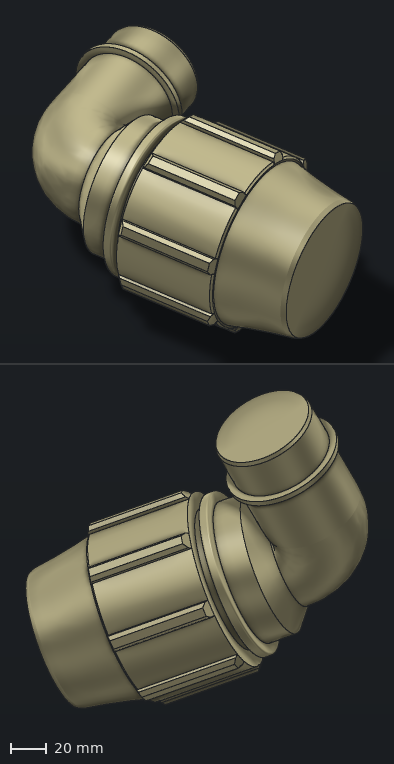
import cadquery as cq
import math


flange_diameter = 68.6
flange_thickness = 3.3
flange_y = 63.1
spigot_diameter = 59.6
spigot_end_y = 92.1
spigot_chamfer_length = 2.2
spigot_chamfer_depth = 1.0
pipe_radius = spigot_diameter / 2
bend_radius = 24.3
branch_x = flange_diameter / 2
elbow_end_x = branch_x + bend_radius

cone_start_x = 59.9
neck_start_x = 70.7
neck_radius = 84.8 / 2
collar_start_x = 87.5
collar_end_x = 93.5
collar_radius = 98.3 / 2
collar_fillet = 1.5

nut_start_x = 98.9
nut_end_x = 161.8
nut_radius = 52.3
nut_chamfer = 1.2
rib_count = 8
rib_shoulder_radius = 54.0
rib_tip_radius = 56.4
rib_root_depth = 2
rib_root_radius = nut_radius - rib_root_depth
rib_base_width = 9.8
rib_top_width = 5.3
rib_front_slope = 3.5
rib_back_slope = 2.0

taper_start_radius = 49.8
taper_end_radius = 42.0
taper_sag = 0.6
end_x = 204.3
end_chamfer_length = 2.9
end_chamfer_depth = 1.2


def along_y(radius, start_y, length):
    """Cylinder on the branch axis, growing toward +Y."""
    plane = cq.Plane(origin=(branch_x, start_y, 0), xDir=(1, 0, 0), normal=(0, 1, 0))
    return cq.Workplane(plane).circle(radius).extrude(length)


def make_branch():
    pipe = along_y(pipe_radius, bend_radius, flange_y - bend_radius)
    flange = along_y(flange_diameter / 2, flange_y, flange_thickness)
    spigot = (
        along_y(pipe_radius, flange_y, spigot_end_y - flange_y)
        .faces(">Y")
        .chamfer(spigot_chamfer_length, spigot_chamfer_depth)
    )
    return pipe.union(flange).union(spigot)


def make_elbow():
    """Quarter bend: the pipe section, cut off at the bend axis, is swept about that axis."""
    half_chord = math.sqrt(pipe_radius**2 - bend_radius**2)
    return (
        cq.Workplane("YZ", origin=(elbow_end_x, 0, 0))
        .moveTo(bend_radius, -half_chord)
        .threePointArc((-pipe_radius, 0), (bend_radius, half_chord))
        .close()
        .revolve(90, (bend_radius, 2, 0), (bend_radius, 0, 0))
    )


def make_body():
    """Cone, neck, collar, nut and tapered end as one profile turned about X."""
    taper_end_x = end_x - end_chamfer_length
    taper_middle_x = (nut_end_x + taper_end_x) / 2
    taper_middle_radius = (taper_start_radius + taper_end_radius) / 2 - taper_sag
    collar_edge_radius = collar_radius - collar_fillet
    arc_inset = collar_fillet * (1 - math.sqrt(0.5))
    arc_radius = collar_radius - arc_inset
    return (
        cq.Workplane("XY")
        .moveTo(elbow_end_x, 0)
        .lineTo(elbow_end_x, pipe_radius)
        .lineTo(cone_start_x, pipe_radius)
        .lineTo(neck_start_x, neck_radius)
        .lineTo(collar_start_x, neck_radius)
        .lineTo(collar_start_x, collar_edge_radius)
        .threePointArc(
            (collar_start_x + arc_inset, arc_radius),
            (collar_start_x + collar_fillet, collar_radius),
        )
        .lineTo(collar_end_x - collar_fillet, collar_radius)
        .threePointArc((collar_end_x - arc_inset, arc_radius), (collar_end_x, collar_edge_radius))
        .lineTo(collar_end_x, neck_radius)
        .lineTo(nut_start_x, neck_radius)
        .lineTo(nut_start_x, nut_radius)
        .lineTo(nut_end_x - nut_chamfer, nut_radius)
        .lineTo(nut_end_x, nut_radius - nut_chamfer)
        .lineTo(nut_end_x, taper_start_radius)
        .threePointArc((taper_middle_x, taper_middle_radius), (taper_end_x, taper_end_radius))
        .lineTo(end_x, taper_end_radius - end_chamfer_depth)
        .lineTo(end_x, 0)
        .close()
        .revolve(360, (0, 0, 0), (1, 0, 0))
    )


def make_rib():
    """Straight-sided rib with a bevelled top on the +Z side of the nut; its ends slope toward the nut."""
    section = (
        cq.Workplane("YZ", origin=(nut_start_x, 0, 0))
        .polyline([
            (-rib_base_width / 2, rib_root_radius),
            (rib_base_width / 2, rib_root_radius),
            (rib_base_width / 2, rib_shoulder_radius),
            (rib_top_width / 2, rib_tip_radius),
            (-rib_top_width / 2, rib_tip_radius),
            (-rib_base_width / 2, rib_shoulder_radius),
        ])
        .close()
        .extrude(nut_end_x - nut_start_x)
    )
    side_outline = (
        cq.Workplane("XZ")
        .polyline([
            (nut_start_x, rib_root_radius),
            (nut_end_x, rib_root_radius),
            (nut_end_x, nut_radius - nut_chamfer),
            (nut_end_x - rib_back_slope, rib_tip_radius),
            (nut_start_x + rib_front_slope, rib_tip_radius),
            (nut_start_x, nut_radius),
        ])
        .close()
        .extrude(rib_base_width, both=True)
    )
    return section.intersect(side_outline)


result = make_body().union(make_elbow()).union(make_branch())

rib_pitch = 360 / rib_count
rib = make_rib()
for index in range(rib_count):
    rib_angle = (index + 0.5) * rib_pitch
    result = result.union(rib.rotate((0, 0, 0), (1, 0, 0), rib_angle))